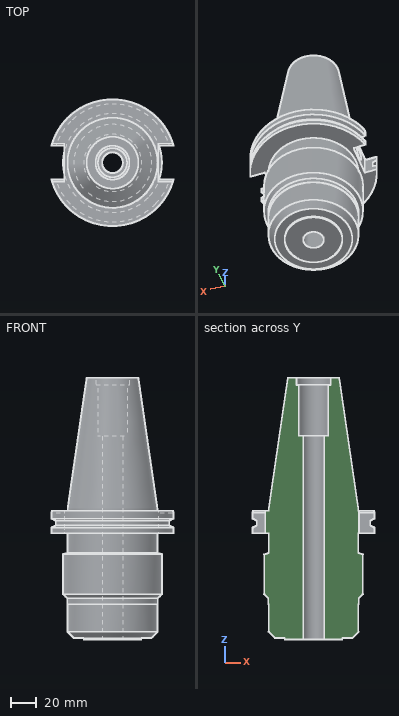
import cadquery as cq
import math

TAPER_LENGTH = 101.6
GAUGE_DIAMETER = 69.85
TAPER_RATIO = 7 / 24
SMALL_END_DIAMETER = GAUGE_DIAMETER - TAPER_LENGTH * TAPER_RATIO

FLANGE_DIAMETER = 98.425
FLANGE_TOP_Z = -1.5
FLANGE_BOTTOM_Z = -19.05
GROOVE_CENTER_Z = -11.13
GROOVE_FLOOR_DIAMETER = 91.8
GROOVE_FLOOR_WIDTH = 3.6
GROOVE_FLANK_ANGLE = 27

SLOT_WIDTH = 25.92
SLOT_EDGE_CHAMFER = 1.8
SHALLOW_SLOT_FLOOR_X = -37.6
DEEP_SLOT_FLOOR_X = 35.3

SPOT_DIAMETER = 9.5
SPOT_DEPTH = 0.1

NECK_DIAMETER = 70.0
BODY_DIAMETER = 76.9
COLLAR_DIAMETER = 70.5
NOSE_DIAMETER = 70
SHOULDER_TOP_Z = -34.3
SHOULDER_SLOPE_HEIGHT = 0.9
BODY_BOTTOM_Z = -66.2
BODY_CHAMFER = (BODY_DIAMETER - COLLAR_DIAMETER) / 2
NOSE_TOP_Z = -74.0
NOSE_CHAMFER = 4.9
NOSE_RING_HEIGHT = 1.2
NOSE_RING_DIAMETER = 44.7
TOTAL_LENGTH = 203.2
NOSE_Z = TAPER_LENGTH - TOTAL_LENGTH

PILOT_DIAMETER = 26.3
PILOT_DEPTH = 5.6
DRAWBAR_DIAMETER = 22.6
DRAWBAR_DEPTH = 45.0
THROUGH_DIAMETER = 15.9


def turned_body():
    """Revolve the outer half-profile about the Z axis."""
    flange_radius = FLANGE_DIAMETER / 2
    groove_radius = GROOVE_FLOOR_DIAMETER / 2
    neck_radius = NECK_DIAMETER / 2
    collar_radius = COLLAR_DIAMETER / 2
    nose_radius = NOSE_DIAMETER / 2
    body_radius = BODY_DIAMETER / 2
    half_floor = GROOVE_FLOOR_WIDTH / 2
    flank_height = (flange_radius - groove_radius) * math.tan(math.radians(GROOVE_FLANK_ANGLE))
    half_mouth = half_floor + flank_height
    nose_face_z = NOSE_Z + NOSE_RING_HEIGHT
    profile = [
        (0, TAPER_LENGTH),
        (SMALL_END_DIAMETER / 2, TAPER_LENGTH),
        (GAUGE_DIAMETER / 2, 0),
        (GAUGE_DIAMETER / 2, FLANGE_TOP_Z),
        (flange_radius, FLANGE_TOP_Z),
        (flange_radius, GROOVE_CENTER_Z + half_mouth),
        (groove_radius, GROOVE_CENTER_Z + half_floor),
        (groove_radius, GROOVE_CENTER_Z - half_floor),
        (flange_radius, GROOVE_CENTER_Z - half_mouth),
        (flange_radius, FLANGE_BOTTOM_Z),
        (neck_radius, FLANGE_BOTTOM_Z),
        (neck_radius, SHOULDER_TOP_Z),
        (body_radius, SHOULDER_TOP_Z - SHOULDER_SLOPE_HEIGHT),
        (body_radius, BODY_BOTTOM_Z),
        (collar_radius, BODY_BOTTOM_Z - BODY_CHAMFER),
        (collar_radius, NOSE_TOP_Z),
        (nose_radius, NOSE_TOP_Z),
        (nose_radius, nose_face_z + NOSE_CHAMFER),
        (nose_radius - NOSE_CHAMFER, nose_face_z),
        (NOSE_RING_DIAMETER / 2, nose_face_z),
        (NOSE_RING_DIAMETER / 2, NOSE_Z),
        (0, NOSE_Z),
    ]
    return cq.Workplane("XZ").polyline(profile).close().revolve(360, (0, 0), (0, 1))


def drive_slot(floor_x):
    """Cutter for one drive slot, running outward from its flat floor through the flange."""
    half_width = SLOT_WIDTH / 2
    half_mouth = half_width + SLOT_EDGE_CHAMFER
    section = [
        (-half_width, FLANGE_BOTTOM_Z),
        (half_width, FLANGE_BOTTOM_Z),
        (half_width, FLANGE_TOP_Z - SLOT_EDGE_CHAMFER),
        (half_mouth, FLANGE_TOP_Z),
        (-half_mouth, FLANGE_TOP_Z),
        (-half_width, FLANGE_TOP_Z - SLOT_EDGE_CHAMFER),
    ]
    length = math.copysign(FLANGE_DIAMETER / 2, floor_x)
    return cq.Workplane("YZ", origin=(floor_x, 0, 0)).polyline(section).close().extrude(length)


def slot_floor_spot():
    """Cutter for the round spot in the shallow slot's floor, level with the V-groove."""
    floor = cq.Workplane("YZ", origin=(SHALLOW_SLOT_FLOOR_X, 0, GROOVE_CENTER_Z))
    return floor.circle(SPOT_DIAMETER / 2).extrude(SPOT_DEPTH)


def axial_bore(diameter, depth):
    """Cutter for a round bore going down from the small end of the taper."""
    return cq.Workplane("XY", origin=(0, 0, TAPER_LENGTH)).circle(diameter / 2).extrude(-depth)


result = turned_body()
for slot_floor_x in (SHALLOW_SLOT_FLOOR_X, DEEP_SLOT_FLOOR_X):
    result = result.cut(drive_slot(slot_floor_x))
result = result.cut(slot_floor_spot())
for bore_diameter, bore_depth in (
    (PILOT_DIAMETER, PILOT_DEPTH),
    (DRAWBAR_DIAMETER, DRAWBAR_DEPTH),
    (THROUGH_DIAMETER, TOTAL_LENGTH),
):
    result = result.cut(axial_bore(bore_diameter, bore_depth))